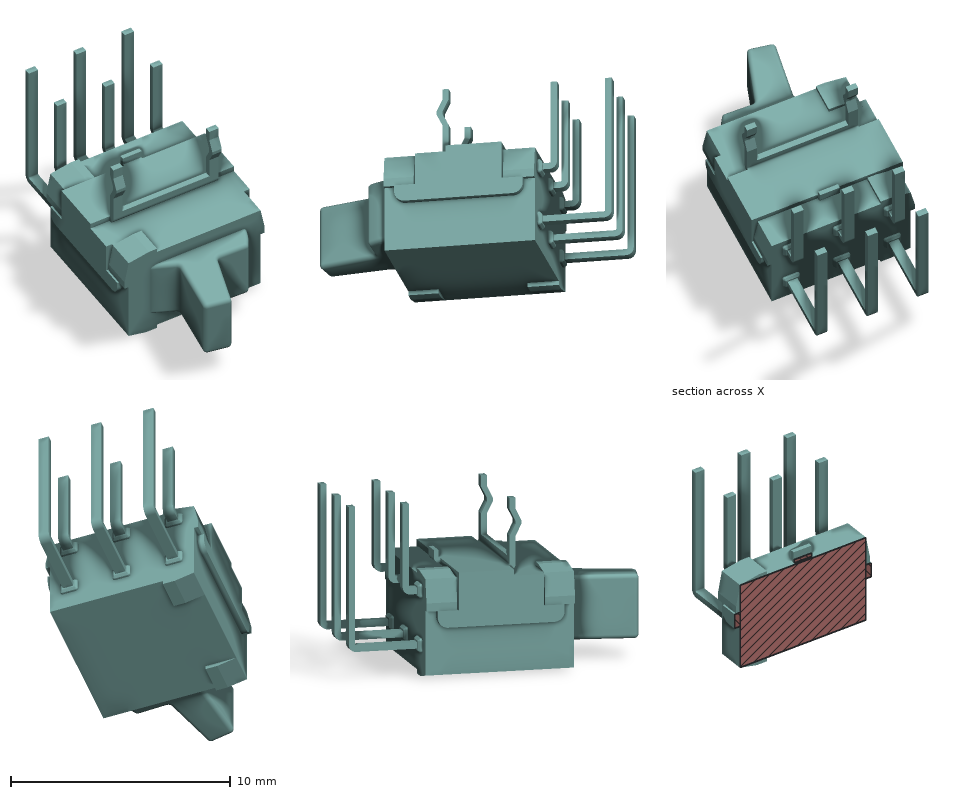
import cadquery as cq
import math


housing_length = 7.0
housing_height = 4.5
housing_half_width = 3.5

rear_shoulder_length = 1.45
front_shoulder_length = 1.4
shoulder_half_width = 3.71
shoulder_bottom = 3.03
shoulder_taper_start = 3.41

pad_height = 0.2
pad_inner_y = -1.99
top_pad_slope_y = -2.42
bottom_pad_slope_y = -2.56

metal_width = 0.5
inner_bend = 0.05

pin_thickness = 0.3
pin_pitch = 2.55
pin_rows = (-pin_pitch, 0, pin_pitch)
pin_top = 7.9
lower_pin_z = 1.28
upper_pin_z = lower_pin_z + pin_pitch
lower_pin_reach = 3.42
upper_pin_reach = lower_pin_reach - pin_pitch
stub_length = 0.2
stub_width = 0.85
stub_height = 0.65
stub_chamfer = 0.1
stub_corner_round = 0.11

lever_bottom = 0.75
lever_height = 3.01
lever_round = 0.2
pivot_x = 6.25
lever_embedding = 0.57
lever_root_x = housing_length - lever_embedding
rotor_corner = (8.03, 2.23)
upper_notch = (7.97, 0.63)
tip_upper = (10.81, -0.27)
tip_lower = (10.57, -1.59)
lower_notch = (7.53, -1.14)
flank_foot = (housing_length, -2.33)

sheet_thickness = 0.28
frame_half_width = 3.801
frame_top = housing_height + sheet_thickness
plate_rear = 1.5
plate_front = 4.1
side_front = 5.51
ear_rear = 0.51
ear_front = 6.5
ear_bottom = 2.25
ear_round = 0.48
bar_top = 5.16
tab_inner_x = 1.42
tab_thickness = 0.21
tab_width = 1.0
kink_offset = 0.27
kink_start = 6.15
kink_apex_bottom = 6.68
kink_apex_top = 6.85
kink_end = 7.39


def prism_along_x(points, start, length):
    return cq.Workplane("YZ").workplane(offset=start).polyline(points).close().extrude(length)


def prism_along_y(profile, center_y, width):
    return profile.extrude(width / 2, both=True).translate((0, center_y, 0))


def block(start_x, center_y, bottom_z, length, width, height):
    return (
        cq.Workplane("XY")
        .box(length, width, height, centered=(False, True, False))
        .translate((start_x, center_y, bottom_z))
    )


def housing_end(start, length):
    """Shoulders on both sides and the corner pads of one end of the housing."""
    shoulders = prism_along_x(
        [
            (-housing_half_width, housing_height),
            (-shoulder_half_width, shoulder_taper_start),
            (-shoulder_half_width, shoulder_bottom),
            (shoulder_half_width, shoulder_bottom),
            (shoulder_half_width, shoulder_taper_start),
            (housing_half_width, housing_height),
        ],
        start,
        length,
    )
    top_pad = prism_along_x(
        [
            (pad_inner_y, housing_height),
            (pad_inner_y, housing_height + pad_height),
            (top_pad_slope_y, housing_height + pad_height),
            (-housing_half_width, housing_height),
        ],
        start,
        length,
    )
    bottom_pad = prism_along_x(
        [
            (pad_inner_y, 0),
            (pad_inner_y, -pad_height),
            (bottom_pad_slope_y, -pad_height),
            (-housing_half_width, 0),
        ],
        start,
        length,
    )
    return shoulders.union(top_pad).union(bottom_pad)


def make_pin(center_y, center_z, reach):
    """Right-angle pin that leaves the rear face and turns up, with its chamfered stub."""
    bottom = center_z - pin_thickness / 2
    top = center_z + pin_thickness / 2
    inner_x = pin_thickness - reach
    outer_bend = inner_bend + pin_thickness
    profile = (
        cq.Workplane("XZ")
        .moveTo(0, bottom)
        .lineTo(outer_bend - reach, bottom)
        .radiusArc((-reach, bottom + outer_bend), outer_bend)
        .lineTo(-reach, pin_top)
        .lineTo(inner_x, pin_top)
        .lineTo(inner_x, top + inner_bend)
        .radiusArc((inner_x + inner_bend, top), -inner_bend)
        .lineTo(0, top)
        .close()
    )
    pin = prism_along_y(profile, center_y, metal_width)
    stub = (
        cq.Workplane("XY")
        .box(stub_length, stub_width, stub_height)
        .edges("|X")
        .fillet(stub_corner_round)
        .faces("<X")
        .chamfer(stub_chamfer)
        .translate((-stub_length / 2, center_y, center_z))
    )
    return pin.union(stub)


def make_lever():
    """Tilted handle on a round rotor, with all its outer edges rounded."""
    pivot_radius = math.hypot(rotor_corner[0] - pivot_x, rotor_corner[1])
    corner_angle = math.atan2(rotor_corner[1], rotor_corner[0] - pivot_x)
    root_angle = math.acos((lever_root_x - pivot_x) / pivot_radius)

    def rotor_point(angle):
        return (pivot_x + pivot_radius * math.cos(angle), pivot_radius * math.sin(angle))

    lever = (
        cq.Workplane("XY")
        .workplane(offset=lever_bottom)
        .moveTo(*rotor_point(root_angle))
        .threePointArc(rotor_point((root_angle + corner_angle) / 2), rotor_corner)
        .lineTo(*upper_notch)
        .lineTo(*tip_upper)
        .lineTo(*tip_lower)
        .lineTo(*lower_notch)
        .lineTo(*flank_foot)
        .lineTo(lever_root_x, flank_foot[1])
        .close()
        .extrude(lever_height)
    )
    outside_corners = cq.selectors.BoxSelector(
        (flank_foot[0] + lever_round, -housing_half_width, 0),
        (tip_upper[0] + lever_round, housing_half_width, housing_height),
    )
    lever = lever.edges("|Z").edges(outside_corners).fillet(lever_round)
    return lever.faces("<Z or >Z").edges().fillet(lever_round)


def make_housing():
    housing = block(0, 0, 0, housing_length, 2 * housing_half_width, housing_height)
    front_start = housing_length - front_shoulder_length
    housing = housing.union(housing_end(0, rear_shoulder_length))
    housing = housing.union(housing_end(front_start, front_shoulder_length))
    for row_y in pin_rows:
        housing = housing.union(make_pin(row_y, lower_pin_z, lower_pin_reach))
        housing = housing.union(make_pin(row_y, upper_pin_z, upper_pin_reach))
    return housing.union(make_lever())


def rear_tab():
    """Short tab that leaves the rear of the top plate and turns up, sharp inside and round outside."""
    outer_x = tab_inner_x - tab_thickness
    profile = (
        cq.Workplane("XZ")
        .moveTo(plate_rear, frame_top - tab_thickness)
        .lineTo(tab_inner_x, frame_top - tab_thickness)
        .radiusArc((outer_x, frame_top), tab_thickness)
        .lineTo(outer_x, bar_top)
        .lineTo(tab_inner_x, bar_top)
        .lineTo(tab_inner_x, frame_top)
        .lineTo(plate_rear, frame_top)
        .close()
    )
    return prism_along_y(profile, 0, tab_width)


def front_bar():
    """Bar bent up along the front of the top plate, joining the two legs."""
    outer_bend = inner_bend + sheet_thickness
    inner_x = plate_front + inner_bend
    outer_x = plate_front + outer_bend
    bar_width = 2 * pin_pitch + metal_width
    profile = (
        cq.Workplane("XZ")
        .moveTo(plate_front, housing_height)
        .radiusArc((outer_x, frame_top + inner_bend), -outer_bend)
        .lineTo(outer_x, bar_top)
        .lineTo(inner_x, bar_top)
        .lineTo(inner_x, frame_top + inner_bend)
        .radiusArc((plate_front, frame_top), inner_bend)
        .close()
    )
    return prism_along_y(profile, 0, bar_width)


def kinked_leg(center_y):
    """Leg that rises from the bar, with a forward kink to snap into a board."""
    rear_x = plate_front + inner_bend
    bends = [
        (0, frame_top + inner_bend),
        (0, kink_start),
        (kink_offset, kink_apex_bottom),
        (kink_offset, kink_apex_top),
        (0, kink_end),
        (0, pin_top),
    ]
    rear_edge = [(rear_x + shift, z) for shift, z in bends]
    front_edge = [(x + sheet_thickness, z) for x, z in reversed(rear_edge)]
    profile = cq.Workplane("XZ").polyline(rear_edge + front_edge).close()
    return prism_along_y(profile, center_y, metal_width)


def make_frame():
    """Sheet frame over the housing: top plate, two sides with ears, rear tab, bar and legs."""
    side_wall = frame_half_width - housing_half_width
    plate_length = plate_front - plate_rear
    frame = block(plate_rear, 0, housing_height, plate_length, 2 * frame_half_width, sheet_thickness)
    side_length = side_front - plate_rear
    side_height = housing_height - shoulder_bottom
    ear_length = ear_front - ear_rear
    ear_height = shoulder_bottom - ear_bottom
    for side in (-1, 1):
        center_y = side * (frame_half_width - side_wall / 2)
        upper = block(plate_rear, center_y, shoulder_bottom, side_length, side_wall, side_height)
        ears = block(ear_rear, center_y, ear_bottom, ear_length, side_wall, ear_height)
        ears = ears.faces("<Z").edges("|Y").fillet(ear_round)
        frame = frame.union(upper).union(ears)
        frame = frame.union(kinked_leg(side * pin_pitch))
    return frame.union(rear_tab()).union(front_bar())


housing = make_housing()
frame = make_frame()
result = cq.Compound.makeCompound([housing.val(), frame.val()])